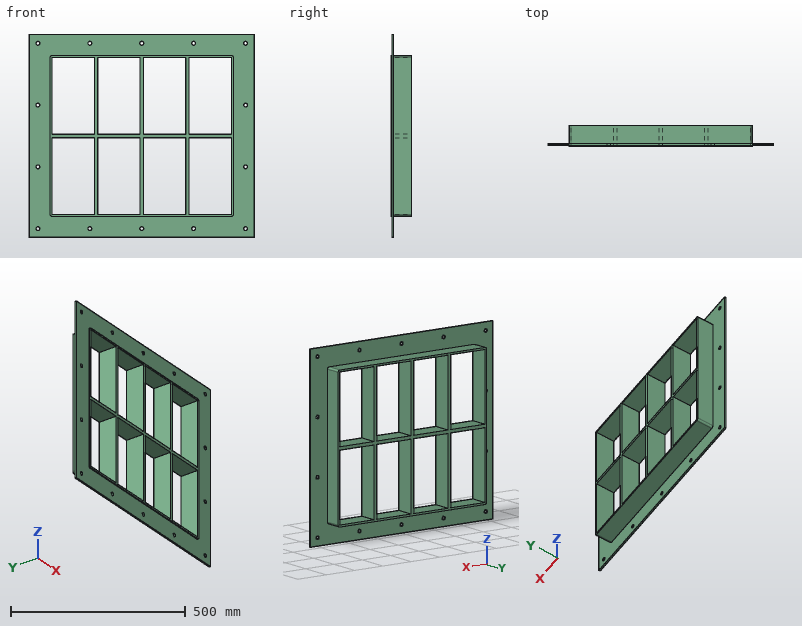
import cadquery as cq

plate_width = 644.0
plate_height = 580.0
plate_thickness = 5.0

frame_width = 524.0
frame_height = 460.0
frame_depth = 60.0
frame_wall = 6.0
frame_corner_radius = 6.0
front_projection = 3.0

columns = 4
rows = 2
bar_thickness = 10.0
opening_width = (frame_width - 2 * frame_wall - (columns - 1) * bar_thickness) / columns
opening_height = (frame_height - 2 * frame_wall - (rows - 1) * bar_thickness) / rows

hole_diameter = 10.0
hole_inset = 25.0
holes_across = 5
holes_up = 4
hole_pitch_x = (plate_width - 2 * hole_inset) / (holes_across - 1)
hole_pitch_z = (plate_height - 2 * hole_inset) / (holes_up - 1)


def block(width, height, front_y, depth):
    """Box centred on X and Z, running back (+Y) from front_y."""
    return cq.Workplane("XY").box(width, depth, height).translate((0, front_y + depth / 2, 0))


def make_plate():
    """Flat plate with one bolt hole at each position along its border."""
    border_points = []
    for column in range(holes_across):
        for row in range(holes_up):
            if column in (0, holes_across - 1) or row in (0, holes_up - 1):
                x = (column - (holes_across - 1) / 2) * hole_pitch_x
                z = (row - (holes_up - 1) / 2) * hole_pitch_z
                border_points.append((x, z))
    plate = block(plate_width, plate_height, 0, plate_thickness)
    return plate.faces("<Y").workplane(origin=(0, 0, 0)).pushPoints(border_points).hole(hole_diameter)


def make_frame():
    """Solid frame block with rounded outer corners."""
    frame = block(frame_width, frame_height, -front_projection, frame_depth)
    return frame.edges("|Y").fillet(frame_corner_radius)


def make_openings():
    """Grid of rectangular cutters running through the whole frame."""
    return (
        cq.Workplane("XZ", origin=(0, -front_projection, 0))
        .rarray(opening_width + bar_thickness, opening_height + bar_thickness, columns, rows)
        .rect(opening_width, opening_height)
        .extrude(-frame_depth)
    )


result = make_plate().union(make_frame()).cut(make_openings())